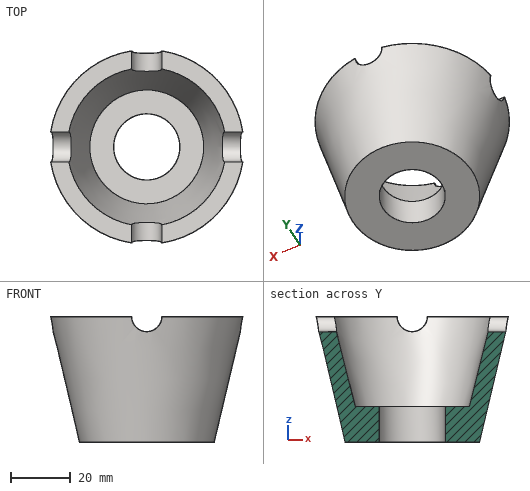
import cadquery as cq
import math

outer_width = 64.2
height = 42.0
notch_radius = 5.0

top_outer_radius = math.hypot(outer_width / 2, notch_radius)
bottom_outer_radius = 22.55
top_inner_radius = 26.5
floor_inner_radius = 19.0
floor_thickness = 12.0
hole_diameter = 22.0


def tapered_cup():
    """Revolve the wall and floor, including the central hole, about Z."""
    hole_radius = hole_diameter / 2
    profile = (
        cq.Workplane("XZ")
        .moveTo(hole_radius, 0)
        .lineTo(bottom_outer_radius, 0)
        .lineTo(top_outer_radius, height)
        .lineTo(top_inner_radius, height)
        .lineTo(floor_inner_radius, floor_thickness)
        .lineTo(hole_radius, floor_thickness)
        .close()
    )
    return profile.revolve(360, (0, 0, 0), (0, 1, 0))


def rim_notch(plane):
    """Make a rod at rim height that cuts two opposite half-round notches."""
    return (
        cq.Workplane(plane)
        .center(0, height)
        .circle(notch_radius)
        .extrude(top_outer_radius, both=True)
    )


result = tapered_cup()
for plane in ("XZ", "YZ"):
    result = result.cut(rim_notch(plane))